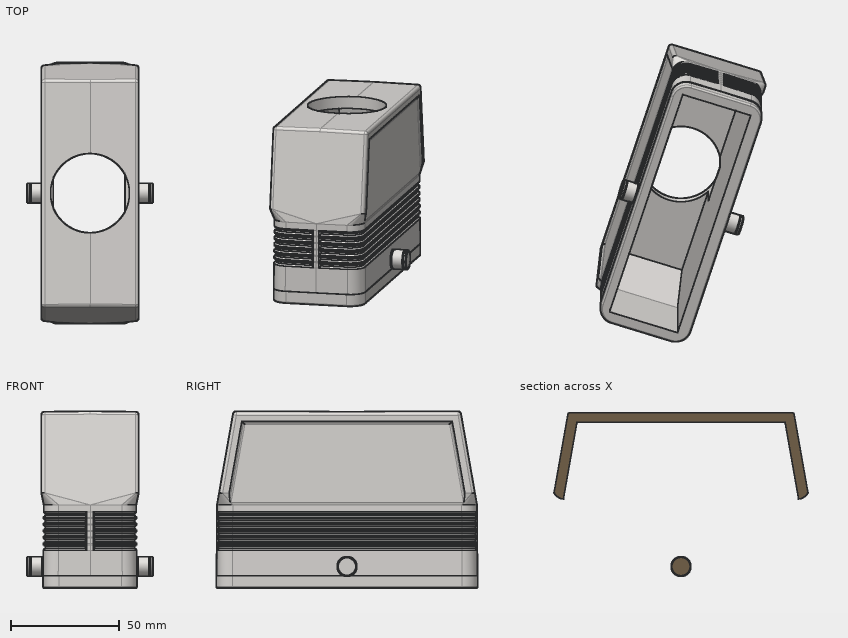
import cadquery as cq
import math

LENGTH = 120.0
HEIGHT = 81.2
PIN_SPAN = 58.0

LIP_WIDTH = 43.2
LIP_HEIGHT = 5.8
LIP_CORNER = 7.3
LIP_EDGE_ROUND = 0.8
LIP_STEP = 0.06

SHELL_FOOT_WIDTH = LIP_WIDTH - 2 * LIP_STEP
SHELL_FOOT_LENGTH = LENGTH - 2 * LIP_STEP
SHELL_DRAFT = 0.2
SHELL_TOP_Z = 38.3
SHELL_CORNER = 7.0
END_CROWN = 0.4

GROOVE_COUNT = 6
GROOVE_BOTTOM_Z = 17.5
GROOVE_PITCH = 3.0
GROOVE_DEPTH = 0.8
RIDGE_FLAT = 0.5
GROOVE_TOP_Z = GROOVE_BOTTOM_Z + GROOVE_COUNT * GROOVE_PITCH - RIDGE_FLAT

RIB_WIDTH = 2.8
RIB_ROOT_WIDTH = RIB_WIDTH + 2 * GROOVE_DEPTH
RIB_EMBED = 2.4

HOOD_WIDTH = 44.8
END_SLOPE = math.tan(math.radians(10))
ROOF_CROWN = 0.2
HOOD_EDGE_ROUND = 1.5
FLARE_TOP_Z = 44.3
FLARE_TOP_WIDTH = HOOD_WIDTH + 0.2
FLARE_TOP_CORNER = 1.0

PANEL_DEPTH = 0.8
PANEL_TOP_Z = 76.7
PANEL_END_INSET = 4.7
PANEL_WALL_RUN = 1.1
PANEL_ROOT_ROUND = 1.2

ENTRY_RADIUS = 18.1
ENTRY_DEPTH = 19.8
ROOF_THICKNESS = 5.6
CAVITY_X_MIN = -16.8
CAVITY_X_MAX = 16.0
END_WALL = 4.8

PIN_RADIUS = 4.5
PIN_Z = 10.0
PIN_EDGE_CHAMFER = 0.5
PIN_GROOVE_WIDTH = 0.5
PIN_GROOVE_DEPTH = 0.2
PIN_HEAD_LENGTH = 1.9
PIN_TIP_GROOVE_X = PIN_SPAN / 2 - PIN_HEAD_LENGTH
PIN_ROOT_GROOVE_X = LIP_WIDTH / 2


def shell_inset(z):
    """Inset of the shell wall at height z caused by the draft."""
    return SHELL_DRAFT * (z - LIP_HEIGHT) / (SHELL_TOP_Z - LIP_HEIGHT)


def crowned_outline(half_width, half_length, corner, z):
    """Rounded rectangle whose two ends come to a very shallow ridge at x = 0."""
    shoulder = half_length - END_CROWN
    points = [
        (0, -half_length),
        (half_width, -shoulder),
        (half_width, shoulder),
        (0, half_length),
        (-half_width, shoulder),
        (-half_width, -shoulder),
    ]
    wire = cq.Wire.makePolygon([cq.Vector(x, y, z) for x, y in points], close=True)
    corners = [v for v in wire.Vertices() if abs(v.X) > half_width / 2]
    return wire.fillet2D(corner, corners)


def shell_outline(z, depth=0.0):
    """Shell section at height z, lying a given depth below the drafted wall."""
    inset = shell_inset(z) + depth
    return crowned_outline(
        SHELL_FOOT_WIDTH / 2 - inset, SHELL_FOOT_LENGTH / 2 - inset, SHELL_CORNER - depth, z
    )


def ruled_solid(sections):
    return cq.Workplane(obj=cq.Solid.makeLoft(sections, True))


def hood_half_length(z):
    return SHELL_FOOT_LENGTH / 2 - SHELL_DRAFT - END_SLOPE * (z - SHELL_TOP_Z)


def make_lip():
    lip = cq.Workplane("XY").rect(LIP_WIDTH, LENGTH).extrude(LIP_HEIGHT)
    return lip.edges("|Z").fillet(LIP_CORNER).faces("<Z").edges().fillet(LIP_EDGE_ROUND)


def make_shell():
    """Drafted shell with grip grooves all round, bridged by a rib on each end wall."""
    sections = [shell_outline(LIP_HEIGHT)]
    for i in range(GROOVE_COUNT):
        bottom = GROOVE_BOTTOM_Z + i * GROOVE_PITCH
        top = bottom + GROOVE_PITCH - RIDGE_FLAT
        sections.append(shell_outline(bottom))
        sections.append(shell_outline(bottom + GROOVE_DEPTH, GROOVE_DEPTH))
        sections.append(shell_outline(top - GROOVE_DEPTH, GROOVE_DEPTH))
        sections.append(shell_outline(top))
    sections.append(shell_outline(SHELL_TOP_Z))
    grooved = ruled_solid(sections)

    plain = ruled_solid([shell_outline(LIP_HEIGHT), shell_outline(SHELL_TOP_Z)])
    root_y = SHELL_FOOT_LENGTH / 2 - SHELL_DRAFT - GROOVE_DEPTH
    rib_profile = [
        (-RIB_ROOT_WIDTH / 2, root_y - RIB_EMBED),
        (-RIB_ROOT_WIDTH / 2, root_y),
        (-RIB_WIDTH / 2, root_y + GROOVE_DEPTH),
        (-RIB_WIDTH / 2, LENGTH / 2),
        (RIB_WIDTH / 2, LENGTH / 2),
        (RIB_WIDTH / 2, root_y + GROOVE_DEPTH),
        (RIB_ROOT_WIDTH / 2, root_y),
        (RIB_ROOT_WIDTH / 2, root_y - RIB_EMBED),
    ]
    rib = (
        cq.Workplane("XY", origin=(0, 0, GROOVE_BOTTOM_Z))
        .polyline(rib_profile).close()
        .extrude(GROOVE_TOP_Z - GROOVE_BOTTOM_Z)
    )
    ribs = rib.union(rib.mirror("XZ")).intersect(plain)
    return grooved.union(ribs)


def make_panel_cutter():
    """Cutter for the panel on the +X side; it runs out through the flare below."""
    def border(inset):
        top = PANEL_TOP_Z - inset
        top_half = hood_half_length(top) - PANEL_END_INSET - inset
        foot_half = hood_half_length(SHELL_TOP_Z) - PANEL_END_INSET - inset
        return [
            (-foot_half, SHELL_TOP_Z),
            (foot_half, SHELL_TOP_Z),
            (top_half, top),
            (-top_half, top),
        ]

    cutter = (
        cq.Workplane("YZ", origin=(HOOD_WIDTH / 2, 0, 0))
        .polyline(border(0)).close()
        .workplane(offset=-PANEL_DEPTH)
        .polyline(border(PANEL_WALL_RUN)).close()
        .loft(ruled=True)
    )
    return cutter.faces("<X").edges("not(<Z)").fillet(PANEL_ROOT_ROUND)


def make_hood():
    """Hood with sloped ends and a slightly ridged roof, trimmed below by the flare."""
    roof_edge_z = HEIGHT - ROOF_CROWN
    block = (
        cq.Workplane("YZ", origin=(-HOOD_WIDTH / 2, 0, 0))
        .polyline([
            (-hood_half_length(SHELL_TOP_Z), SHELL_TOP_Z),
            (hood_half_length(SHELL_TOP_Z), SHELL_TOP_Z),
            (hood_half_length(HEIGHT), HEIGHT),
            (-hood_half_length(HEIGHT), HEIGHT),
        ]).close()
        .extrude(HOOD_WIDTH)
    )
    crowned_section = (
        cq.Workplane("XZ", origin=(0, LENGTH / 2, 0))
        .polyline([
            (-HOOD_WIDTH / 2, SHELL_TOP_Z),
            (HOOD_WIDTH / 2, SHELL_TOP_Z),
            (HOOD_WIDTH / 2, roof_edge_z),
            (0, HEIGHT),
            (-HOOD_WIDTH / 2, roof_edge_z),
        ]).close()
        .extrude(LENGTH)
    )
    block = block.intersect(crowned_section)
    block = block.edges("not(<Z or >Z)").fillet(HOOD_EDGE_ROUND)

    panel = make_panel_cutter()
    block = block.cut(panel).cut(panel.mirror("YZ"))

    flare = ruled_solid([
        shell_outline(SHELL_TOP_Z),
        crowned_outline(
            FLARE_TOP_WIDTH / 2,
            hood_half_length(FLARE_TOP_Z) + END_CROWN,
            FLARE_TOP_CORNER,
            FLARE_TOP_Z,
        ),
    ])
    above_flare = (
        cq.Workplane("XY", origin=(0, 0, FLARE_TOP_Z))
        .rect(LENGTH, LENGTH).extrude(HEIGHT - FLARE_TOP_Z)
    )
    return block.intersect(flare.union(above_flare))


def make_cavity():
    """Hollow open at the bottom, together with the round cable entry bored through the roof."""
    ceiling_z = HEIGHT - ROOF_THICKNESS
    wall_half = hood_half_length(SHELL_TOP_Z) - END_WALL
    ceiling_half = hood_half_length(ceiling_z) - END_WALL
    cavity = (
        cq.Workplane("YZ", origin=(CAVITY_X_MIN, 0, 0))
        .polyline([
            (-wall_half, 0),
            (wall_half, 0),
            (wall_half, SHELL_TOP_Z),
            (ceiling_half, ceiling_z),
            (-ceiling_half, ceiling_z),
            (-wall_half, SHELL_TOP_Z),
        ]).close()
        .extrude(CAVITY_X_MAX - CAVITY_X_MIN)
    )
    entry = (
        cq.Workplane("XY", origin=(0, 0, HEIGHT - ENTRY_DEPTH))
        .circle(ENTRY_RADIUS).extrude(ENTRY_DEPTH)
    )
    return cavity.union(entry)


def make_pins():
    """One bar through both pins; the cavity is cut out of its middle afterwards."""
    bar = (
        cq.Workplane("YZ", origin=(-PIN_SPAN / 2, 0, PIN_Z))
        .circle(PIN_RADIUS).extrude(PIN_SPAN)
        .faces("<X or >X").edges().chamfer(PIN_EDGE_CHAMFER)
    )
    for start in (PIN_TIP_GROOVE_X, PIN_ROOT_GROOVE_X):
        groove = (
            cq.Workplane("YZ", origin=(start, 0, PIN_Z))
            .circle(PIN_RADIUS + PIN_GROOVE_DEPTH).circle(PIN_RADIUS - PIN_GROOVE_DEPTH)
            .extrude(PIN_GROOVE_WIDTH)
        )
        bar = bar.cut(groove).cut(groove.mirror("YZ"))
    return bar


outer = make_lip().union(make_shell()).union(make_hood()).union(make_pins())
result = outer.cut(make_cavity())